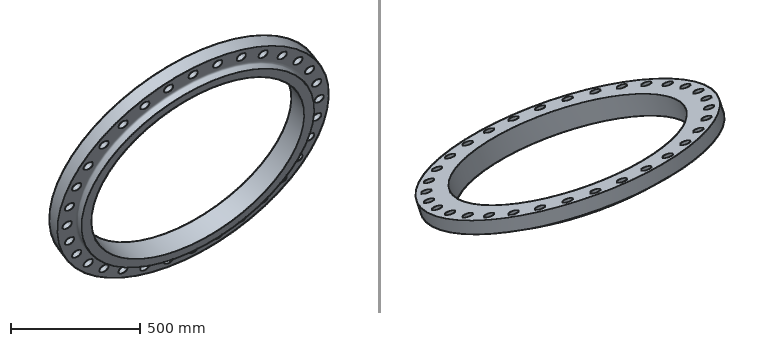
import cadquery as cq

outer_diameter = 1238.0
bore_diameter = 970.0
flange_thickness = 61.0
total_thickness = 95.0

hub_diameter = 1061.0
root_fillet = 8.0

bolt_count = 32
bolt_circle_diameter = 1149.0
bolt_hole_diameter = 42.0

outer_radius = outer_diameter / 2
bore_radius = bore_diameter / 2
hub_radius = hub_diameter / 2

ring = (
    cq.Workplane("XZ")
    .moveTo(0, bore_radius)
    .lineTo(0, outer_radius)
    .lineTo(flange_thickness, outer_radius)
    .lineTo(flange_thickness, hub_radius + root_fillet)
    .radiusArc((flange_thickness + root_fillet, hub_radius), -root_fillet)
    .lineTo(total_thickness, hub_radius)
    .lineTo(total_thickness, bore_radius)
    .close()
    .revolve(360, (0, 0, 0), (1, 0, 0))
)

bolt_holes = (
    cq.Workplane("YZ")
    .polarArray(bolt_circle_diameter / 2, 0, 360, bolt_count)
    .circle(bolt_hole_diameter / 2)
    .extrude(flange_thickness)
)

result = ring.cut(bolt_holes)